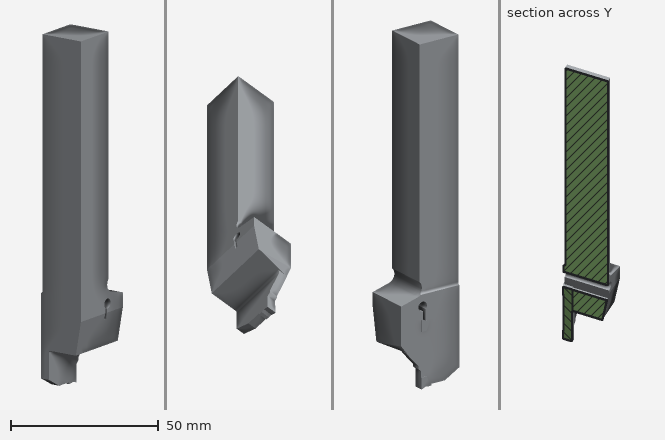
import cadquery as cq
import math

length = 125.0
right_x = 17.0
shank_side = 16.0
shank_left = right_x - shank_side
head_left = 0.4
head_depth = 24.1
block_bottom = 14.6
block_bottom_right = 14.9
taper_top = 26.8
step_bottom = 34.2
step_radius = 1.1

shoulder_low = 31.9
shoulder_high = 33.8
shoulder_y = 17.0
relief_y = 15.1
relief_middle = 36.6
relief_top = 38.6
bevel_top = 17.4
bevel_end_y = 22.0
bevel_depth = 13.1

blade_right = 3.6
blade_bottom = 1.0
blade_inner_radius = 0.8
nose_y = 6.0
nose_height = 4.4
clearance_mid = (20.2, 12.2)
clearance_end = (17.0, 8.6)

insert_length = 25.1
insert_front = 11.5
insert_back = 15.9
end_inset = 0.4
groove_y = 14.0
groove_depth = 0.6
groove_front = 12.8
bulge_back = 17.0
bulge_half = 5.0
bulge_chamfer = 1.0
tip_height = 4.2
tip_shoulder_y = 13.6
tip_front = 12.2
tip_slant_height = 1.5

hole_y = 15.2
hole_z = 29.9
hole_radius = 1.8
slit_front = 14.0
slit_back = 15.1


def yz_plane(x):
    """Plane at a given X, with local axes along Y and Z."""
    return cq.Workplane("YZ", origin=(x, 0, 0))


def insert_body():
    """Double-ended insert with a chip groove across each end, symmetric about the middle of its length."""
    middle = insert_length / 2
    bulge_low = middle - bulge_half
    bulge_high = middle + bulge_half
    outline = [
        (insert_back, 0),
        (groove_y, groove_depth),
        (groove_front, end_inset),
        (insert_front, end_inset),
        (insert_front, insert_length - end_inset),
        (groove_front, insert_length - end_inset),
        (groove_y, insert_length - groove_depth),
        (insert_back, insert_length),
        (insert_back, bulge_high + bulge_chamfer),
        (bulge_back, bulge_high),
        (bulge_back, bulge_low),
        (insert_back, bulge_low - bulge_chamfer),
    ]
    return yz_plane(head_left).polyline(outline).close().extrude(blade_right - head_left)


def lower_tip():
    """Side pad of a cutting tip, thinning out from the cutting edge."""
    outline = [
        (insert_back, 0),
        (groove_y, groove_depth),
        (groove_front, end_inset),
        (tip_front, end_inset),
        (tip_front, tip_slant_height),
        (tip_shoulder_y, tip_height),
        (insert_back, tip_height),
    ]
    wedge_outline = [
        (0, insert_back),
        (head_left, tip_front),
        (blade_right, tip_front),
        (blade_right, insert_back),
    ]
    pad = yz_plane(0).polyline(outline).close().extrude(blade_right)
    wedge = cq.Workplane("XY").polyline(wedge_outline).close().extrude(tip_height)
    return pad.intersect(wedge)


def make_insert():
    tip = lower_tip()
    upper_tip = tip.mirror("XY", (0, 0, insert_length / 2))
    return insert_body().union(tip).union(upper_tip)


def front_profile():
    """Shank, block and blade in XZ, extruded over the full depth."""
    step = shank_left - head_left
    step_top = step_bottom + math.sqrt(2 * step_radius * step - step**2)
    arc_centre_x = shank_left - step_radius
    half_angle = math.acos(1 - step / step_radius) / 2
    step_mid = (
        arc_centre_x + step_radius * math.cos(half_angle),
        step_top - step_radius * math.sin(half_angle),
    )
    return (
        cq.Workplane("XZ")
        .moveTo(shank_left, length)
        .lineTo(right_x, length)
        .lineTo(right_x, taper_top)
        .lineTo(block_bottom_right, block_bottom)
        .lineTo(blade_right + blade_inner_radius, block_bottom)
        .radiusArc((blade_right, block_bottom - blade_inner_radius), -blade_inner_radius)
        .lineTo(blade_right, blade_bottom)
        .lineTo(head_left, blade_bottom)
        .lineTo(head_left, step_bottom)
        .threePointArc(step_mid, (shank_left, step_top))
        .close()
        .extrude(-head_depth)
    )


def side_profile():
    """Outline in YZ of the shank and the head above the block underside."""
    return (
        yz_plane(0)
        .moveTo(0, length)
        .lineTo(shank_side, length)
        .lineTo(shank_side, relief_top)
        .threePointArc((relief_y, relief_middle), (shoulder_y, shoulder_high))
        .lineTo(head_depth, shoulder_low)
        .lineTo(head_depth, block_bottom)
        .lineTo(0, block_bottom)
        .close()
        .extrude(right_x)
    )


def blade_profile():
    """Outline in YZ of the blade, with its curved clearance and its nose."""
    return (
        yz_plane(0)
        .moveTo(0, bevel_top)
        .lineTo(head_depth, bevel_top)
        .threePointArc(clearance_mid, clearance_end)
        .lineTo(insert_back, clearance_end[1])
        .lineTo(insert_back, blade_bottom)
        .lineTo(nose_y, blade_bottom)
        .lineTo(0, nose_height)
        .close()
        .extrude(right_x)
    )


def corner_bevel():
    """Pyramid removed from the lower back corner of the block."""
    corner = cq.Vector(head_left, head_depth, block_bottom)
    top = cq.Vector(head_left, head_depth, bevel_top)
    side = cq.Vector(head_left, bevel_end_y, block_bottom)
    deep = cq.Vector(head_left + bevel_depth, head_depth, block_bottom)
    triangles = [(corner, top, side), (corner, side, deep), (corner, deep, top), (top, deep, side)]
    faces = [cq.Face.makeFromWires(cq.Wire.makePolygon(points, close=True)) for points in triangles]
    return cq.Workplane(cq.Solid.makeSolid(cq.Shell.makeShell(faces)))


def clamp_slit():
    hole = yz_plane(0).center(hole_y, hole_z).circle(hole_radius).extrude(right_x)
    slit_bottom = insert_length - groove_depth
    slit = (
        yz_plane(0)
        .moveTo(slit_front, slit_bottom)
        .lineTo(slit_back, slit_bottom)
        .lineTo(slit_back, hole_z)
        .lineTo(slit_front, hole_z)
        .close()
        .extrude(right_x)
    )
    return hole.union(slit)


def make_holder(insert):
    outline = side_profile().union(blade_profile())
    holder = front_profile().intersect(outline)
    return holder.cut(corner_bevel()).cut(clamp_slit()).cut(insert)


insert = make_insert()
holder = make_holder(insert)
result = cq.Compound.makeCompound([*holder.solids().vals(), *insert.solids().vals()])